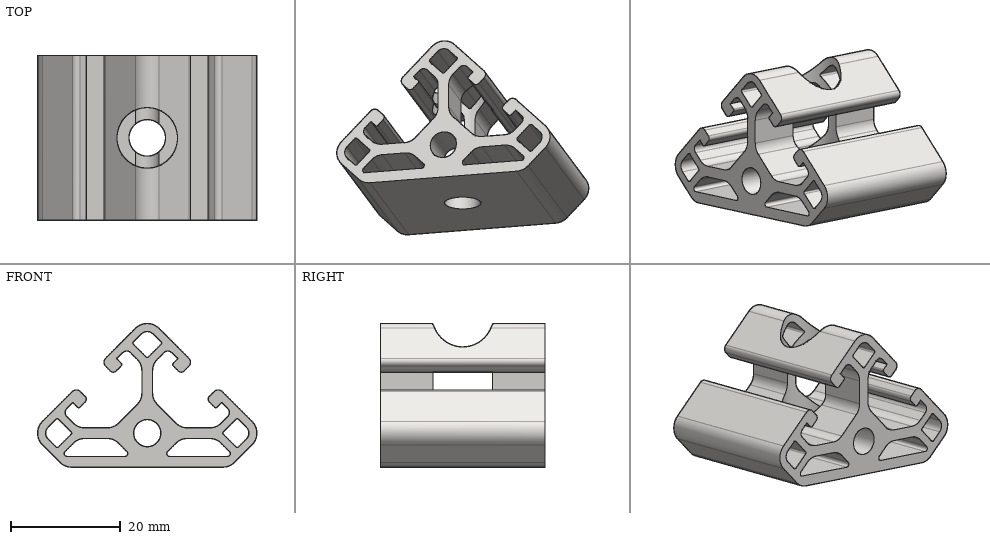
import cadquery as cq
import math

length = 30.0
square_side = 30.0
outer_radius = 3.0
wall = 1.5
web_thickness = 2.0
base_thickness = 2.0
core_half_width = 5.0
bore_diameter = 4.9

slot_opening = 6.5
lip_width = 2.4
lip_height = 3.0
slot_half_width = 8.2
lobe_web = 1.45

lip_outer_radius = 1.0
lip_opening_radius = 0.7
lip_inner_radius = 0.3
slot_corner_radius = 1.0
web_root_radius = 2.75
base_pocket_tip_radius = 0.5
lobe_cavity_radius = 0.3

screw_hole_diameter = 6.6
counterbore_diameter = 11.0
seat_height = 5.0

half_side = square_side / 2
web_half = web_thickness / 2
half_diagonal = half_side * math.sqrt(2)
base_half_width = half_side
base_level = base_half_width - half_diagonal
counterbore_floor = base_level + seat_height
apex_level = half_diagonal - outer_radius * (math.sqrt(2) - 1)


def rounded_prism(corners):
    """Extrude a closed polygon of (x, z, radius) corners, centred on the XZ plane."""
    path = None
    count = len(corners)
    for index, (x, z, radius) in enumerate(corners):
        corner = cq.Vector(x, z)
        to_previous = (cq.Vector(*corners[index - 1][:2]) - corner).normalized()
        to_next = (cq.Vector(*corners[(index + 1) % count][:2]) - corner).normalized()
        half_angle = to_previous.getAngle(to_next) / 2
        tangent_length = radius / math.tan(half_angle)
        bisector = (to_previous + to_next).normalized()
        start = corner + to_previous * tangent_length
        middle = corner + bisector * (radius / math.sin(half_angle) - radius)
        end = corner + to_next * tangent_length
        if path is None:
            path = cq.Workplane("XZ").moveTo(start.x, start.y)
        else:
            path = path.lineTo(start.x, start.y)
        if radius > 0:
            path = path.threePointArc((middle.x, middle.y), (end.x, end.y))
    return path.close().extrude(length / 2, both=True)


def turned(solid, angle):
    """Turn a solid about the bore axis; positive angles carry +Z towards +X."""
    return solid.rotate((0, 0, 0), (0, 1, 0), angle)


def body():
    """Half of the rounded square: the apex lobe, two side lobes and the flat base."""
    return rounded_prism([
        (0, half_diagonal, outer_radius),
        (half_diagonal, 0, outer_radius),
        (base_half_width, base_level, outer_radius),
        (-base_half_width, base_level, outer_radius),
        (-half_diagonal, 0, outer_radius),
    ])


def slot():
    """T-slot that opens upwards, before it is turned onto a slanted face."""
    lip_edge = slot_opening / 2
    lip_root = lip_edge + lip_width
    lip_underside = half_side - lip_height
    ceiling = half_side - wall
    web_offset = web_half * math.sqrt(2)
    mouth_edge = lip_edge + lip_outer_radius
    arc_start_level = half_side - lip_outer_radius
    right_half = [
        (core_half_width - web_offset, core_half_width, web_root_radius),
        (slot_half_width, slot_half_width + web_offset, web_root_radius),
        (slot_half_width, ceiling, slot_corner_radius),
        (lip_root, ceiling, 0),
        (lip_root, lip_underside, lip_inner_radius),
        (lip_edge, lip_underside, lip_opening_radius),
        (lip_edge, arc_start_level, 0),
    ]
    left_half = [(-x, z, radius) for x, z, radius in reversed(right_half)]
    opening = rounded_prism(right_half + left_half)
    mouth = (
        cq.Workplane("XZ")
        .moveTo(lip_edge, arc_start_level)
        .radiusArc((mouth_edge, half_side), lip_outer_radius)
        .lineTo(-mouth_edge, half_side)
        .radiusArc((-lip_edge, arc_start_level), lip_outer_radius)
        .close()
        .extrude(length / 2, both=True)
    )
    return opening.union(mouth)


def lobe_cavity():
    """Square cavity of the apex lobe; its outer corner follows the outside corner."""
    outer_tip = (half_side - wall) * math.sqrt(2)
    inner_side = slot_half_width + lobe_web
    inner_tip = inner_side * math.sqrt(2)
    middle_level = (outer_tip + inner_tip) / 2
    half_width = (outer_tip - inner_tip) / 2
    return rounded_prism([
        (0, outer_tip, outer_radius - wall),
        (half_width, middle_level, lobe_cavity_radius),
        (0, inner_tip, lobe_cavity_radius),
        (-half_width, middle_level, lobe_cavity_radius),
    ])


def base_pocket(side):
    """Trapezoidal pocket between core, web, lobe and base; side is +1 or -1."""
    core_line = core_half_width * math.sqrt(2)
    lobe_line = slot_half_width * math.sqrt(2)
    floor = base_level + base_thickness
    corners = [
        (core_line - web_half, -web_half, web_root_radius),
        (lobe_line + web_half, -web_half, web_root_radius),
        (lobe_line - floor, floor, base_pocket_tip_radius),
        (core_line + floor, floor, base_pocket_tip_radius),
    ]
    return rounded_prism([(side * x, z, radius) for x, z, radius in corners])


def vertical_cylinder(diameter, bottom, top):
    return cq.Workplane("XY", origin=(0, 0, bottom)).circle(diameter / 2).extrude(top - bottom)


result = body()
for angle in (-45, 45):
    result = result.cut(turned(slot(), angle))
for angle in (-90, 0, 90):
    result = result.cut(turned(lobe_cavity(), angle))
for side in (-1, 1):
    result = result.cut(base_pocket(side))

bore = cq.Workplane("XZ").circle(bore_diameter / 2).extrude(length / 2, both=True)
result = result.cut(bore)
result = result.cut(vertical_cylinder(screw_hole_diameter, base_level, apex_level))
result = result.cut(vertical_cylinder(counterbore_diameter, counterbore_floor, apex_level))